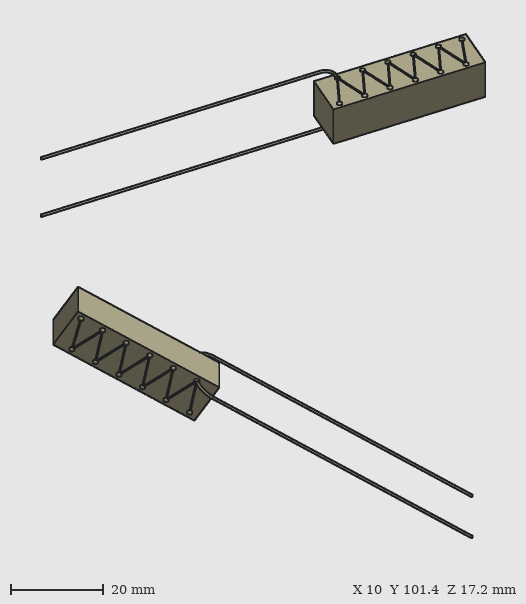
import cadquery as cq
import math

stack_width = 10.0
stack_length = 36.1
end_plate_thickness = 0.5
short_layer_thickness = 2.0
full_layer_count = 11
full_layer_thickness = (
    stack_length - 2 * end_plate_thickness - short_layer_thickness
) / full_layer_count
half_width = stack_width / 2

overall_length = 101.4
overall_height = 17.2
lead_diameter = 0.6
lead_bend_radius = 4.3
lead_axis_height = (overall_height - lead_diameter) / 2
lead_tip_y = stack_length - overall_length
lead_contact_index = 1
contact_inset = 1.2
contact_x = half_width - contact_inset
contact_radius = 0.6
contact_height = 0.35
trace_diameter = 0.3

layer_thicknesses = [
    end_plate_thickness,
    *[full_layer_thickness] * full_layer_count,
    short_layer_thickness,
    end_plate_thickness,
]


def make_layer(start_y, thickness):
    """One square layer that starts at start_y and grows toward +Y."""
    return cq.Solid.makeBox(
        stack_width, thickness, stack_width, cq.Vector(-half_width, start_y, -half_width)
    )


def make_stack():
    """All layers bonded into one solid; the joints stay as seam lines on its sides."""
    layers = []
    start_y = 0.0
    for thickness in layer_thicknesses:
        layers.append(make_layer(start_y, thickness))
        start_y += thickness
    return layers[0].fuse(*layers[1:]).Solids()[0]


def contact_points():
    """Centre of each contact on the top face, swapping sides from layer to layer."""
    points = []
    start_y = end_plate_thickness
    for index, thickness in enumerate(layer_thicknesses[1:-1]):
        side = 1 if index % 2 == 0 else -1
        points.append(cq.Vector(side * contact_x, start_y + thickness / 2, half_width))
        start_y += thickness
    return points


def make_contact(point):
    """Ball whose top stands above the face as a low round solder cap."""
    ball_radius = (contact_radius**2 + contact_height**2) / (2 * contact_height)
    sink = ball_radius - contact_height
    centre = point - cq.Vector(0, 0, sink)
    return cq.Workplane("XY", origin=centre.toTuple()).sphere(ball_radius).val()


def make_trace(start, end):
    """Round wire between two contacts, with its axis on the face."""
    run = end - start
    return cq.Solid.makeCylinder(trace_diameter / 2, run.Length, start, run)


def make_lead(contact):
    """Connecting wire that rises from a contact point, bends toward -Y and runs out straight."""
    bend_start_z = lead_axis_height - lead_bend_radius
    bend_end_y = contact.y - lead_bend_radius
    bend_middle = lead_bend_radius * math.cos(math.radians(45))
    path = (
        cq.Workplane("YZ", origin=(contact.x, 0, 0))
        .moveTo(contact.y, bend_start_z)
        .threePointArc(
            (bend_end_y + bend_middle, bend_start_z + bend_middle),
            (bend_end_y, lead_axis_height),
        )
        .lineTo(lead_tip_y, lead_axis_height)
    )
    section = cq.Workplane("XY", origin=(contact.x, contact.y, bend_start_z))
    return section.circle(lead_diameter / 2).sweep(path).val()


def make_top_wiring(stack):
    """Contacts, zigzag traces and lead as one solid, trimmed flat where it rests on the stack."""
    points = contact_points()
    contacts = [make_contact(point) for point in points]
    traces = [make_trace(start, end) for start, end in zip(points, points[1:])]
    lead = make_lead(points[lead_contact_index])
    return lead.fuse(*contacts, *traces).cut(stack).Solids()[0]


stack = make_stack()
top_wiring = make_top_wiring(stack)
bottom_wiring = top_wiring.mirror("XY")

result = cq.Compound.makeCompound([stack, top_wiring, bottom_wiring])